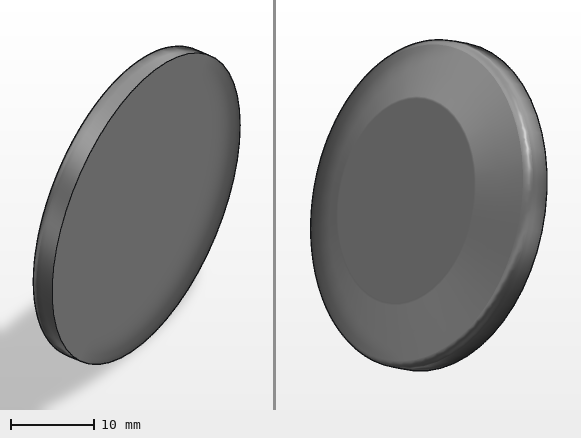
import cadquery as cq
import math

outer_radius = 40.0 / 2
thickness = 5.0
face_radius = 12.55
cone_angle = 15.0
edge_round = 1.0

cone_depth = (outer_radius - face_radius) * math.tan(math.radians(cone_angle))

half_section = (
    cq.Workplane("XY")
    .polyline([
        (0, 0),
        (0, face_radius),
        (cone_depth, outer_radius),
        (thickness, outer_radius),
        (thickness, 0),
    ])
    .close()
)
disc = half_section.revolve(360, (0, 0, 0), (1, 0, 0))

result = disc.faces("%CONE").edges("%CIRCLE").fillet(edge_round)